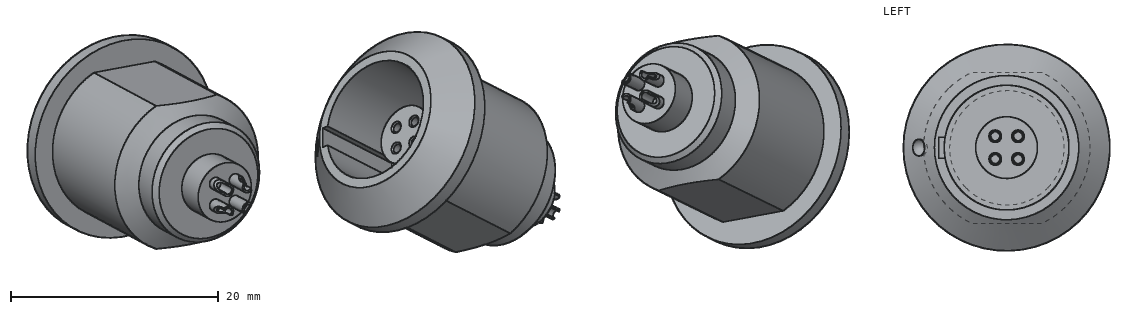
import cadquery as cq
import math


total_length = 26.1
cone_end = 3.0
flange_back = 4.52
body_end = 16.35
shoulder_start = 17.5
shoulder_end = 20.5
insert_end = 23.6
insert_face = flange_back
bore_floor = 14.62
keyway_end = 10.45

front_radius = 6.95
flange_radius = 9.95
body_radius = 8.0
shoulder_radius = 6.0
insert_radius = 2.98
bore_radius = 6.0

flat_half_height = 7.25
shoulder_chamfer = 0.5
key_width = 2.0
key_outer_y = 6.55
dot_center_y = 8.45
dot_radius = 0.8

pin_offset = 1.1
pin_radius = 0.6
contact_bore_radius = 0.45
contact_bore_depth = 3.13
cup_bore_radius = 0.4
cup_bore_start = 24.0
cup_ridge_height = 0.3
cup_edge_start = 25.65
cup_opening_start = 24.3


def cylinder(start, end, radius):
    """Cylinder on the X axis between two X positions."""
    return cq.Workplane("YZ", origin=(start, 0, 0)).circle(radius).extrude(end - start)


def make_shell():
    """Turned outer shell with its front flange and stepped back end."""
    profile = [
        (0, 0),
        (0, front_radius),
        (cone_end, flange_radius),
        (flange_back, flange_radius),
        (flange_back, body_radius),
        (body_end, body_radius),
        (shoulder_start, shoulder_radius),
        (shoulder_end - shoulder_chamfer, shoulder_radius),
        (shoulder_end, shoulder_radius - shoulder_chamfer),
        (shoulder_end, 0),
    ]
    return cq.Workplane("XY").polyline(profile).close().revolve(360, (0, 0, 0), (1, 0, 0))


def cut_flats(shell):
    """Mill the two wrench flats, above and below, behind the flange."""
    length = shoulder_end - flange_back
    for side in (1, -1):
        waste = cq.Workplane("XY").box(
            length, 2 * body_radius, body_radius, centered=(False, True, True)
        ).translate((flange_back, 0, side * (flat_half_height + body_radius / 2)))
        shell = shell.cut(waste)
    return shell


def cut_bore(shell):
    """Open the front bore and the keyway on its +Y side."""
    keyway = cq.Workplane("XY").box(
        keyway_end, key_outer_y, key_width, centered=(False, False, True)
    )
    return shell.cut(cylinder(0, bore_floor, bore_radius)).cut(keyway)


def cut_dot(shell):
    """Sink the round index dot into the flange cone on the +Y side."""
    cone_slope = cone_end / (flange_radius - front_radius)
    dot_x = (dot_center_y - front_radius) * cone_slope
    return shell.cut(cq.Workplane("XY").sphere(dot_radius).translate((dot_x, dot_center_y, 0)))


def make_cup_opening():
    """Waste above a solder cup on the X axis, open toward +Z.

    A rounded run-out leads down to the pin axis, and a roof-shaped underside
    leaves the two cup edges sloping outward.
    """
    run = cup_edge_start - cup_opening_start
    arc_radius = (run**2 + pin_radius**2) / (2 * pin_radius)
    half_angle = math.asin(run / arc_radius) / 2
    arc_middle = (
        cup_edge_start - arc_radius * math.sin(half_angle),
        arc_radius * (1 - math.cos(half_angle)),
    )
    side_outline = (
        cq.Workplane("XZ")
        .moveTo(total_length, 0)
        .lineTo(cup_edge_start, 0)
        .threePointArc(arc_middle, (cup_opening_start, pin_radius))
        .lineTo(total_length, pin_radius)
        .close()
        .extrude(pin_radius, both=True)
    )
    end_points = [
        (-pin_radius, 0),
        (0, cup_ridge_height),
        (pin_radius, 0),
        (pin_radius, pin_radius),
        (-pin_radius, pin_radius),
    ]
    end_outline = cq.Workplane("YZ").polyline(end_points).close().extrude(total_length)
    return side_outline.intersect(end_outline)


def make_pin():
    """Solder-cup pin on the X axis with its cup open toward +Z."""
    pin = cylinder(shoulder_end, total_length, pin_radius)
    return pin.cut(cylinder(cup_bore_start, total_length, cup_bore_radius)).cut(make_cup_opening())


def make_socket():
    """Blind contact hole on the X axis with a 45 degree countersink at the insert face."""
    sink_depth = pin_radius - contact_bore_radius
    hole_end = insert_face + contact_bore_depth
    profile = [
        (insert_face, 0),
        (insert_face, pin_radius),
        (insert_face + sink_depth, contact_bore_radius),
        (hole_end, contact_bore_radius),
        (hole_end, 0),
    ]
    return cq.Workplane("XY").polyline(profile).close().revolve(360, (0, 0, 0), (1, 0, 0))


def add_contacts(body):
    """Add four pins with cups facing outward, and the countersunk socket in front of each."""
    pin_circle_radius = pin_offset * math.sqrt(2)
    pin = make_pin().translate((0, 0, pin_circle_radius))
    socket = make_socket().translate((0, 0, pin_circle_radius))
    for angle in (45, 135, 225, 315):
        body = body.union(pin.rotate((0, 0, 0), (1, 0, 0), angle))
        body = body.cut(socket.rotate((0, 0, 0), (1, 0, 0), angle))
    return body


shell = cut_dot(cut_bore(cut_flats(make_shell())))
insert = cylinder(insert_face, insert_end, insert_radius)
result = add_contacts(shell.union(insert))